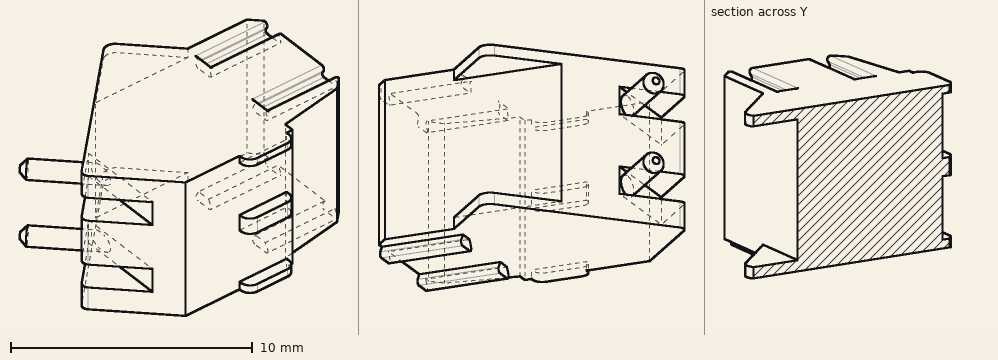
import cadquery as cq
import math

diagonal = math.sqrt(0.5)

housing_width = 7.0
housing_height = 7.0
board_corner_x = 3.915
board_corner_y = -12.45
board_face_length = 9.0
board_corner_radius = 0.3
ear_corner_radius = 0.5
lower_ear_thickness = 0.5
upper_ear_thickness = 0.47

plug_length = 3.69
plug_tip_width = 5.97
plug_base_width = 6.52
nose_chamfer = 0.5

tab_reach = 0.57
tab_front_y = -4.0
tab_back_y = -6.5
tab_front_radius = 0.4
tab_back_radius = 0.5
middle_tab_height = 0.8
lower_tab_height = 0.4
upper_tab_height = 0.35
tab_levels = [
    (0, lower_tab_height),
    ((housing_height - middle_tab_height) / 2, middle_tab_height),
    (housing_height - upper_tab_height, upper_tab_height),
]

first_dovetail_x = 1.12
dovetail_pitch = 3.75
dovetail_centers = [first_dovetail_x, first_dovetail_x + dovetail_pitch]
dovetail_angle = math.radians(60)
rail_neck_width = 0.66
rail_height = 0.5
rail_radius = 0.15
groove_neck_width = 0.54
groove_depth = 0.55
groove_lip_radius = 0.15
groove_floor_radius = 0.12

pin_pitch = 3.5
pin_levels = [(housing_height - pin_pitch) / 2, (housing_height + pin_pitch) / 2]
pin_diameter = 0.9
pin_tip_chamfer = 0.3
pin_reach = 2.8
pin_offset = 2.41
pin_root = 3.0
slot_height = 1.2
slot_back_y = -10.34

ear_corner_x = board_corner_x - board_face_length * diagonal
ear_corner_y = board_corner_y + board_face_length * diagonal


def make_housing():
    outline = [
        (nose_chamfer, 0),
        (plug_tip_width - nose_chamfer, 0),
        (plug_tip_width, -nose_chamfer),
        (plug_base_width, -plug_length),
        (housing_width, -plug_length),
        (housing_width, board_corner_y + housing_width - board_corner_x),
        (board_corner_x, board_corner_y),
        (ear_corner_x, ear_corner_y),
        (0, ear_corner_y - ear_corner_x),
        (0, -nose_chamfer),
    ]
    housing = cq.Workplane("XY").polyline(outline).close().extrude(housing_height)
    housing = housing.edges(cq.selectors.NearestToPointSelector(
        (board_corner_x, board_corner_y, housing_height / 2))).fillet(board_corner_radius)
    housing = housing.edges(cq.selectors.NearestToPointSelector(
        (ear_corner_x, ear_corner_y, housing_height / 2))).fillet(ear_corner_radius)
    return housing


def make_ear_gap():
    """Space between the two ears, open to the left of the plug wall."""
    gap_height = housing_height - lower_ear_thickness - upper_ear_thickness
    return cq.Workplane("XY").box(
        -ear_corner_x, -board_corner_y, gap_height, centered=False,
    ).translate((ear_corner_x, board_corner_y, lower_ear_thickness))


def make_tab(bottom, height):
    tab = cq.Workplane("XY").box(
        2 * tab_reach, tab_front_y - tab_back_y, height, centered=False,
    ).translate((housing_width - tab_reach, tab_back_y, bottom))
    tab = tab.edges("|Z and >X and >Y").fillet(tab_front_radius)
    return tab.edges("|Z and >X and <Y").fillet(tab_back_radius)


def make_dovetail(center_x, neck_z, neck_width, depth):
    """Bar along Y that widens downwards from its neck."""
    half_neck = neck_width / 2
    half_base = half_neck + depth / math.tan(dovetail_angle)
    outline = [
        (center_x - half_neck, neck_z),
        (center_x + half_neck, neck_z),
        (center_x + half_base, neck_z - depth),
        (center_x - half_base, neck_z - depth),
    ]
    return cq.Workplane("XZ").polyline(outline).close().extrude(plug_length)


def make_rail(center_x):
    rail = make_dovetail(center_x, 0, rail_neck_width, rail_height)
    return rail.edges("|Y and <Z").fillet(rail_radius)


def make_groove_lips(center_x):
    """Material to remove so that the two acute groove lips become round."""
    half_neck = groove_neck_width / 2
    radius = groove_lip_radius
    tangent_length = radius / math.tan(dovetail_angle / 2)
    slope_x = half_neck + tangent_length * math.cos(dovetail_angle)
    slope_z = housing_height - tangent_length * math.sin(dovetail_angle)
    top_x = half_neck + tangent_length
    arc_x = top_x - radius * math.cos(dovetail_angle / 2)
    arc_z = housing_height - radius * (1 - math.sin(dovetail_angle / 2))
    return (
        cq.Workplane("XZ", origin=(center_x, 0, 0))
        .moveTo(-top_x, housing_height)
        .lineTo(top_x, housing_height)
        .threePointArc((arc_x, arc_z), (slope_x, slope_z))
        .lineTo(-slope_x, slope_z)
        .threePointArc((-arc_x, arc_z), (-top_x, housing_height))
        .close()
        .extrude(plug_length)
    )


def make_groove(center_x):
    groove = make_dovetail(center_x, housing_height, groove_neck_width, groove_depth)
    groove = groove.edges("|Y and <Z").fillet(groove_floor_radius)
    return groove.union(make_groove_lips(center_x))


def make_slot(level):
    """Slot from the back plane to the board corner, open on both slanted sides."""
    return cq.Workplane("XY").box(
        housing_width - ear_corner_x, slot_back_y - board_corner_y, slot_height, centered=False,
    ).translate((ear_corner_x, board_corner_y, level - slot_height / 2))


def make_pin(level):
    """Round pin square to the board face, with a chamfered tip."""
    tip_x = board_corner_x - (pin_offset + pin_reach) * diagonal
    tip_y = board_corner_y + (pin_offset - pin_reach) * diagonal
    axis_plane = cq.Plane(origin=(tip_x, tip_y, level), xDir=(0, 0, 1), normal=(1, 1, 0))
    pin = cq.Workplane(axis_plane).circle(pin_diameter / 2).extrude(pin_reach + pin_root)
    return pin.faces("<X").edges().chamfer(pin_tip_chamfer)


result = make_housing().cut(make_ear_gap())
for bottom, height in tab_levels:
    result = result.union(make_tab(bottom, height))
for center_x in dovetail_centers:
    result = result.union(make_rail(center_x)).cut(make_groove(center_x))
for level in pin_levels:
    result = result.cut(make_slot(level)).union(make_pin(level))